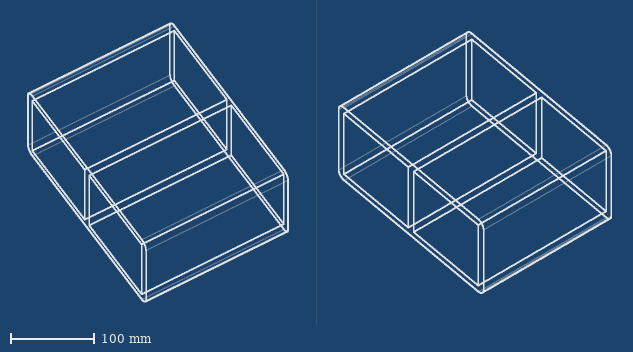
import cadquery as cq

width = 271.0
length = 200.0
height = 121.0

wall = 10.0
corner_radius = wall

cell_width = (width - 3 * wall) / 2
cell_height = height - 2 * wall
cell_offset = (cell_width + wall) / 2

body = cq.Workplane("XY").box(width, length, height).edges("|Y").fillet(corner_radius)

cells = (
    cq.Workplane("XY")
    .pushPoints([(-cell_offset, 0), (cell_offset, 0)])
    .box(cell_width, length, cell_height)
)

result = body.cut(cells)